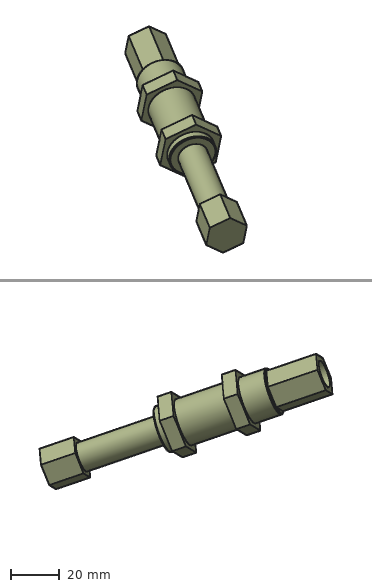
import cadquery as cq
import math

total_length = 123.0

body_start = 22.0
body_length = 49.9
body_diameter = 20.0
body_chamfer = 0.5
body_end = body_start + body_length

end_hex_flats = 16.0
head_length = 15.3
head_start = total_length - head_length
bore_diameter = 11.5
bore_depth = body_start

rod_diameter = 12.5

nut_flats = 24.0
nut_thickness = 6.2
nut_starts = (34.0, 62.5)

hex_angle = 20.5


def cylinder(start, length, diameter):
    """Round bar along X."""
    return cq.Workplane("YZ", origin=(start, 0, 0)).circle(diameter / 2).extrude(length)


def hexagon(start, length, across_flats):
    """Hexagonal bar along X, turned to the common hexagon angle."""
    across_corners = across_flats / math.cos(math.pi / 6)
    bar = cq.Workplane("YZ", origin=(start, 0, 0)).polygon(6, across_corners).extrude(length)
    return bar.rotate((0, 0, 0), (1, 0, 0), hex_angle)


body = cylinder(body_start, body_length, body_diameter).edges().chamfer(body_chamfer)
rear_hex = hexagon(0, body_start, end_hex_flats)
rod = cylinder(body_end, head_start - body_end, rod_diameter)
head = hexagon(head_start, head_length, end_hex_flats)

result = body.union(rear_hex).union(rod).union(head)
for nut_start in nut_starts:
    result = result.union(hexagon(nut_start, nut_thickness, nut_flats))

result = result.cut(cylinder(0, bore_depth, bore_diameter))